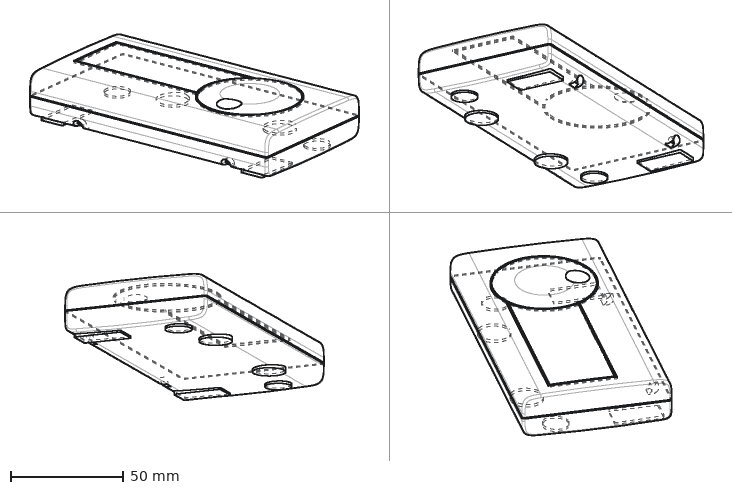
import cadquery as cq
import math


length = 132.9
width = 69.0
side = width / 2
crown_top_z = 22.7
crown_bottom_z = 0.8
seam_z = 11.3
end_fillet = 1.2

corner_fullness = 0.85
top_edge_y = 25.9
top_edge_z = 22.3
top_apex_z = 22.0
top_side_z = 13.8
bottom_edge_z = 1.3
bottom_apex_z = 1.5
front_bottom_y = 28.8
front_bottom_side_z = 6.9
back_bottom_y = 25.9
back_bottom_side_z = 10.0

seam_groove_width = 0.4
seam_groove_depth = 0.4
groove_floor_z = 21.8

window_left_x = -59.3
window_back_y = 20.6
window_front_y = -10.9
window_groove = 0.8

dial_x = 30.8
dial_radius = 23.4
dial_groove_radius = 24.0
dial_base_z = 21.3
dial_edge_z = 22.6
rim_radius = 13.3
rim_z = 23.9
dial_slope_bulge = 0.1
dish_depth = 0.5

dimple_y = -15.8
dimple_radius = 5.7
dimple_depth = 2.0
dimple_rim_z = 23.7

foot_root_z = 3.3
round_foot_x = 29.9
round_foot_y = 23.3
round_foot_radius = 7.5
small_foot_x = 55.8
small_foot_y = 16.5
small_foot_radius = 6.0
pad_length = 12.0
pad_width = 22.6
pad_y = -20.5
pad_corner = 0.7

notch_center_x = 2.0
notch_spacing = 82.7
notch_radius = 2.5
notch_axis_z = 2.9
notch_depth = 3.3
notch_bevel = 1.6


def corner_curve(start, apex, end):
    """Control points of a corner tangent to start-apex and apex-end."""
    def toward_apex(point):
        return tuple(p + corner_fullness * (a - p) for p, a in zip(point, apex))

    return [start, toward_apex(start), toward_apex(end), end]


def case_block():
    """The complete case outline, before it is parted at the seam."""
    top_front = corner_curve((-side, top_side_z), (-side, top_apex_z), (-top_edge_y, top_edge_z))
    top_back = corner_curve((top_edge_y, top_edge_z), (side, top_apex_z), (side, top_side_z))
    bottom_back = corner_curve(
        (side, back_bottom_side_z), (side, bottom_apex_z), (back_bottom_y, bottom_edge_z)
    )
    bottom_front = corner_curve(
        (-front_bottom_y, bottom_edge_z), (-side, bottom_apex_z), (-side, front_bottom_side_z)
    )
    block = (
        cq.Workplane("YZ", origin=(-length / 2, 0, 0))
        .moveTo(*top_front[0])
        .bezier(top_front)
        .threePointArc((0, crown_top_z), top_back[0])
        .bezier(top_back)
        .lineTo(*bottom_back[0])
        .bezier(bottom_back)
        .threePointArc((0, crown_bottom_z), bottom_front[0])
        .bezier(bottom_front)
        .close()
        .extrude(length)
    )
    return block.faces("<X or >X").edges().fillet(end_fillet)


def seam_groove():
    """Narrow groove around the case, shared equally by the two halves."""
    core = (
        cq.Workplane("XY")
        .box(length - 2 * seam_groove_depth, width - 2 * seam_groove_depth, seam_groove_width)
        .edges("|Z")
        .fillet(end_fillet)
    )
    ring = cq.Workplane("XY").box(length + 1.3, width + 1.3, seam_groove_width).cut(core)
    return ring.translate((0, 0, seam_z))


def half_space(bottom_z, top_z):
    """Slab larger than the case between two heights."""
    return (
        cq.Workplane("XY", origin=(0, 0, bottom_z))
        .rect(2 * length, 2 * width)
        .extrude(top_z - bottom_z)
    )


def window_groove_cutter():
    """Rectangular groove running from the left end to beneath the dial."""
    window_length = dial_x - window_left_x
    window_width = window_back_y - window_front_y
    center = ((dial_x + window_left_x) / 2, (window_back_y + window_front_y) / 2)
    return (
        cq.Workplane("XY", origin=(*center, groove_floor_z))
        .rect(window_length, window_width)
        .rect(window_length - 2 * window_groove, window_width - 2 * window_groove)
        .extrude(rim_z - groove_floor_z)
    )


def dial():
    """Raised disc with a sloping ring around a shallow dish."""
    slope_middle = ((rim_radius + dial_radius) / 2, (rim_z + dial_edge_z) / 2 + dial_slope_bulge)
    dish_sphere = (rim_radius**2 + dish_depth**2) / (2 * dish_depth)
    dish_mid_r = rim_radius / 2
    dish_mid_z = rim_z - dish_depth + dish_sphere - math.sqrt(dish_sphere**2 - dish_mid_r**2)
    disc = (
        cq.Workplane("XZ")
        .moveTo(0, dial_base_z)
        .lineTo(dial_radius, dial_base_z)
        .lineTo(dial_radius, dial_edge_z)
        .threePointArc(slope_middle, (rim_radius, rim_z))
        .threePointArc((dish_mid_r, dish_mid_z), (0, rim_z - dish_depth))
        .close()
        .revolve(360, (0, 0, 0), (0, 1, 0))
    )
    return disc.translate((dial_x, 0, 0))


def dial_groove_cutter():
    return (
        cq.Workplane("XY", origin=(dial_x, 0, groove_floor_z))
        .circle(dial_groove_radius)
        .circle(dial_radius)
        .extrude(rim_z - groove_floor_z)
    )


def dimple_cutter():
    sphere_radius = (dimple_radius**2 + dimple_depth**2) / (2 * dimple_depth)
    center_z = dimple_rim_z - dimple_depth + sphere_radius
    return cq.Workplane("XY").sphere(sphere_radius).translate((dial_x, dimple_y, center_z))


def round_foot(x, y, radius):
    return cq.Workplane("XY", origin=(x, y, 0)).circle(radius).extrude(foot_root_z)


def pad_foot(x):
    pad = cq.Workplane("XY", origin=(x, pad_y, 0)).rect(pad_length, pad_width).extrude(foot_root_z)
    return pad.edges("|Z").fillet(pad_corner)


def notch_cutter(x):
    """Arch open at the bottom, cut inward from the front side, with a bevelled back wall."""
    back_y = -side + notch_depth
    arch = (
        cq.Workplane("XZ", origin=(x, back_y, 0))
        .moveTo(-notch_radius, 0)
        .lineTo(-notch_radius, notch_axis_z)
        .threePointArc((0, notch_axis_z + notch_radius), (notch_radius, notch_axis_z))
        .lineTo(notch_radius, 0)
        .close()
        .extrude(2 * notch_depth)
    )
    bevel = (
        cq.Workplane("YZ", origin=(x - notch_radius, 0, 0))
        .moveTo(-side, notch_axis_z)
        .lineTo(back_y, notch_axis_z)
        .lineTo(back_y + notch_bevel, notch_axis_z - notch_bevel)
        .lineTo(back_y + notch_bevel, 0)
        .lineTo(-side, 0)
        .close()
        .extrude(2 * notch_radius)
    )
    return arch.union(bevel)


def make_upper_case(block):
    upper = block.intersect(half_space(seam_z, rim_z))
    upper = upper.cut(window_groove_cutter())
    upper = upper.union(dial())
    return upper.cut(dial_groove_cutter()).cut(dimple_cutter())


def make_lower_case(block):
    lower = block.intersect(half_space(0, seam_z))
    for direction in (-1, 1):
        lower = lower.cut(notch_cutter(notch_center_x + direction * notch_spacing / 2))
        lower = lower.union(round_foot(direction * round_foot_x, round_foot_y, round_foot_radius))
        lower = lower.union(round_foot(direction * small_foot_x, small_foot_y, small_foot_radius))
        lower = lower.union(pad_foot(direction * small_foot_x))
    return lower


grooved_block = case_block().cut(seam_groove())
upper_case = make_upper_case(grooved_block)
lower_case = make_lower_case(grooved_block)

result = cq.Compound.makeCompound([upper_case.val(), lower_case.val()])